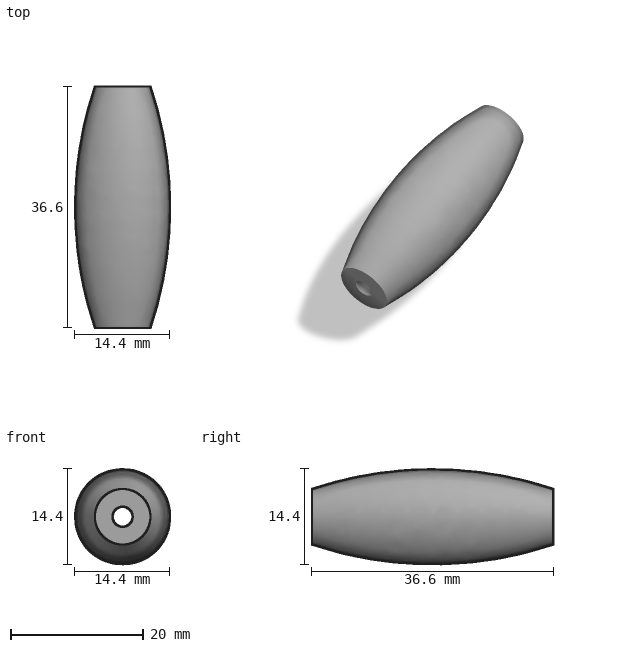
import cadquery as cq

length = 36.6
middle_diameter = 14.42
end_diameter = 8.4
bore_diameter = 3.0

half_length = length / 2
middle_radius = middle_diameter / 2
end_radius = end_diameter / 2
bore_radius = bore_diameter / 2

half_section = (
    cq.Workplane("XY")
    .moveTo(bore_radius, -half_length)
    .lineTo(end_radius, -half_length)
    .threePointArc((middle_radius, 0), (end_radius, half_length))
    .lineTo(bore_radius, half_length)
    .close()
)

result = half_section.revolve(360, (0, 0, 0), (0, 1, 0))